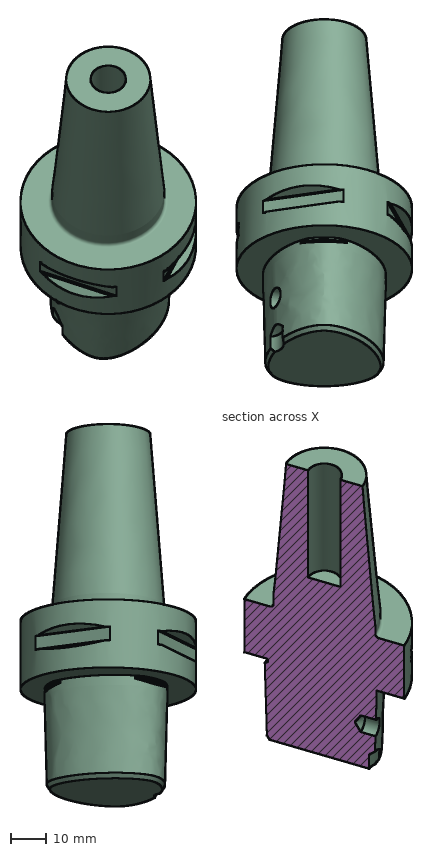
import cadquery as cq
import math


flange_radius = 25.0
flange_height = 20.0
nose_top_z = 75.0
nose_top_radius = 12.0
nose_base_radius = 16.0
nose_base_fillet = 1.0
nose_half_angle = 4.5
nose_cone_start_z = nose_top_z - (nose_base_radius - nose_top_radius) / math.tan(math.radians(nose_half_angle))
bore_radius = 5.0
bore_depth = 40.0

groove_count = 4
groove_floor_distance = 22.0
groove_floor_height = 4.0
groove_ledge_depth = 0.6
groove_wall_angle = 30.0
groove_z = flange_height / 2

shank_length = 30.0
shank_mean_radius = 17.5
lobe_height = 1.12
lobe_angle = math.radians(90)
straight_length = 3.0
diameter_taper = 1 / 20
end_chamfer_height = 1.4
end_chamfer_inset = 0.9
chamfer_top_z = end_chamfer_height - shank_length
taper_end_radius = shank_mean_radius - (-straight_length - chamfer_top_z) * diameter_taper / 2
outline_points = 72

relief_radius = 17.65
relief_fillet = 0.5
relief_cylinder_end_z = -0.9
relief_cone_length = 1.15
lobe_clearance = 0.2
lobe_clear_radius = shank_mean_radius + lobe_height + lobe_clearance

side_hole_radius = 3.0
side_hole_z = -14.0
side_hole_depth = 5.0
drill_half_angle = 59.0

keyway_radius = 4.7
keyway_axis_y = -18.65
keyway_shoulder_z = -24.8
keyway_cone_half_angle = 45.0


def fillet_midpoint_offset(radius):
    """Distance from either wall of a square corner to the middle of its fillet arc."""
    return radius * (1 - math.sqrt(0.5))


def polygon_wire(mean_radius, z):
    """Closed constant-width curve with three lobes, one of them on +Y."""
    points = []
    for index in range(outline_points):
        angle = 2 * math.pi * index / outline_points
        along = mean_radius + lobe_height * math.cos(3 * angle)
        across = -3 * lobe_height * math.sin(3 * angle)
        turned = angle + lobe_angle
        x = along * math.cos(turned) - across * math.sin(turned)
        y = along * math.sin(turned) + across * math.cos(turned)
        points.append(cq.Vector(x, y, z))
    return cq.Wire.assembleEdges([cq.Edge.makeSpline(points, periodic=True)])


def polygon_section(lower_radius, lower_z, upper_radius, upper_z):
    """Ruled solid between two polygon outlines."""
    wires = [polygon_wire(lower_radius, lower_z), polygon_wire(upper_radius, upper_z)]
    return cq.Workplane(obj=cq.Solid.makeLoft(wires, True))


def make_turned_body():
    fillet_radius = nose_base_radius + nose_base_fillet
    fillet_offset = fillet_midpoint_offset(nose_base_fillet)
    profile = (
        cq.Workplane("XZ")
        .moveTo(0, 0)
        .lineTo(flange_radius, 0)
        .lineTo(flange_radius, flange_height)
        .lineTo(fillet_radius, flange_height)
        .threePointArc(
            (nose_base_radius + fillet_offset, flange_height + fillet_offset),
            (nose_base_radius, flange_height + nose_base_fillet),
        )
        .lineTo(nose_base_radius, nose_cone_start_z)
        .lineTo(nose_top_radius, nose_top_z)
        .lineTo(0, nose_top_z)
        .close()
    )
    body = profile.revolve(360, (0, 0, 0), (0, 1, 0))
    return body.faces(">Z").workplane().circle(bore_radius).cutBlind(-bore_depth)


def cut_gripper_grooves(body):
    ledge_end = groove_floor_distance + groove_ledge_depth
    floor_half = groove_floor_height / 2
    mouth_half = floor_half + (flange_radius - ledge_end) * math.tan(math.radians(groove_wall_angle))
    groove = (
        cq.Workplane("XZ")
        .moveTo(groove_floor_distance, groove_z - floor_half)
        .lineTo(ledge_end, groove_z - floor_half)
        .lineTo(flange_radius, groove_z - mouth_half)
        .lineTo(flange_radius, groove_z + mouth_half)
        .lineTo(ledge_end, groove_z + floor_half)
        .lineTo(groove_floor_distance, groove_z + floor_half)
        .close()
        .extrude(flange_radius, both=True)
    )
    step = 360 / groove_count
    for index in range(groove_count):
        body = body.cut(groove.rotate((0, 0, 0), (0, 0, 1), (index + 0.5) * step))
    return body


def make_shank():
    straight = polygon_section(shank_mean_radius, -straight_length, shank_mean_radius, 0)
    taper = polygon_section(taper_end_radius, chamfer_top_z, shank_mean_radius, -straight_length)
    chamfer_end_radius = taper_end_radius - end_chamfer_inset
    chamfer = polygon_section(chamfer_end_radius, -shank_length, taper_end_radius, chamfer_top_z)
    return straight.intersect(make_relief_envelope()).union(taper).union(chamfer)


def make_relief_envelope():
    """Turned envelope that trims the lobes next to the flange."""
    cone_end_z = relief_cylinder_end_z - relief_cone_length
    fillet_offset = fillet_midpoint_offset(relief_fillet)
    return (
        cq.Workplane("XZ")
        .moveTo(0, 0)
        .lineTo(relief_radius + relief_fillet, 0)
        .threePointArc((relief_radius + fillet_offset, -fillet_offset), (relief_radius, -relief_fillet))
        .lineTo(relief_radius, relief_cylinder_end_z)
        .lineTo(lobe_clear_radius, cone_end_z)
        .lineTo(lobe_clear_radius, -straight_length)
        .lineTo(0, -straight_length)
        .close()
        .revolve(360, (0, 0, 0), (0, 1, 0))
    )


def pointed_cutter(radius, length, half_angle):
    """Cylinder from Z = -length to Z = 0, with a conical point above it."""
    return (
        cq.Workplane("XZ")
        .moveTo(0, -length)
        .lineTo(radius, -length)
        .lineTo(radius, 0)
        .lineTo(0, radius / math.tan(math.radians(half_angle)))
        .close()
        .revolve(360, (0, 0, 0), (0, 1, 0))
    )


def cut_side_hole(body):
    flat_y = lobe_height - shank_mean_radius
    drill = pointed_cutter(side_hole_radius, 2 * side_hole_depth, drill_half_angle)
    drill = drill.rotate((0, 0, 0), (1, 0, 0), -90)
    return body.cut(drill.translate((0, flat_y + side_hole_depth, side_hole_z)))


def cut_keyway(body):
    length = shank_length + keyway_shoulder_z
    cutter = pointed_cutter(keyway_radius, length, keyway_cone_half_angle)
    return body.cut(cutter.translate((0, keyway_axis_y, keyway_shoulder_z)))


holder = cut_gripper_grooves(make_turned_body()).union(make_shank())
result = cut_keyway(cut_side_hole(holder))